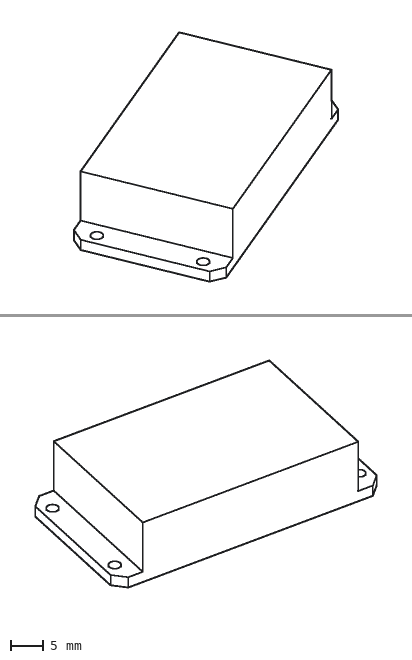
import cadquery as cq

width = 25.8
plate_length = 49.4
total_height = 11.5

plate_thickness = 2.0
corner_chamfer = 2.0
body_length = 40.0

hole_diameter = 2.0
hole_spacing_x = 18.0
hole_spacing_y = 45.4


def make_base_plate():
    """Flat plate with its four vertical corners chamfered."""
    plate = cq.Workplane("XY").box(width, plate_length, plate_thickness, centered=(True, True, False))
    return plate.edges("|Z").chamfer(corner_chamfer)


def make_body():
    """Full-height block, leaving a mounting flange at each end of the plate."""
    return cq.Workplane("XY").box(width, body_length, total_height, centered=(True, True, False))


def make_mounting_holes():
    """Four through-hole cutters, two in each flange."""
    return (
        cq.Workplane("XY")
        .rarray(hole_spacing_x, hole_spacing_y, 2, 2)
        .circle(hole_diameter / 2)
        .extrude(plate_thickness)
    )


result = make_base_plate().union(make_body()).cut(make_mounting_holes())